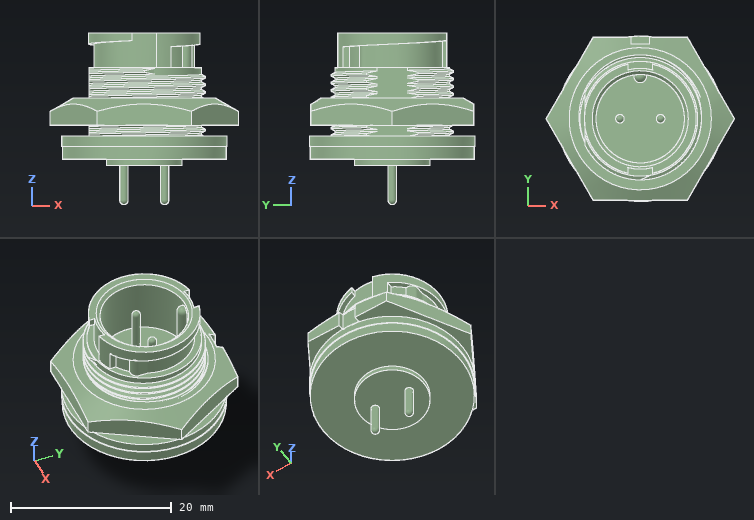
import cadquery as cq
import math


TOP_Z = 12.84
SHOULDER_Z = 8.52
FLOOR_Z = 4.96
FLANGE_BOTTOM_Z = -1.29
RING_BOTTOM_Z = -2.91
BOSS_BOTTOM_Z = -3.69
PIN_BOTTOM_Z = -8.55
PIN_TOP_Z = 10.75
KEY_TOP_Z = 11.83

FLANGE_R = 20.62 / 2
RING_R = 10.22
BOSS_R = 4.71
BORE_R = 5.5
BORE_CHAMFER = 0.48
BARREL_R = 6.27
LIP_R = 6.96

PIN_R = 0.53
PIN_X = 2.53
KEY_R = 0.77
KEY_Y = 5.26

PITCH = 0.94
CORE_R = 7.15
CREST_R = 7.62
CREST_HALF_WIDTH = 0.1
ROOT_HALF_WIDTH = 0.35
THREAD_TURNS = 9
THREAD_END_Z = 8.02
RUNOUT_LENGTH = 1.25
RUNOUT_REACH = 2
RUNOUT_TURNS = 0.04
FLAT_X = -6.9

SLOT_HALF_WIDTH = 1.53
STOP_X = 3.35
RAMP_PITCH = 2.0
RAMP_HIGH_Z = 11.94
DETENT_END_Y = 4.07
DETENT_FLAT_Y = 2.08
DETENT_ROUND = 0.85

HEX_SIDES = 6
NUT_CORNERS = 23.46
NUT_BOTTOM_Z = 1.32
NUT_TOP_Z = 4.73
NUT_TOP_R = 8.85
NUT_CHAMFER_ANGLE = 30
NUT_BORE_R = 7.5
NUT_GROOVE_R = 7.95
GROOVE_TIP_HALF_WIDTH = 0.06
GROOVE_MOUTH_HALF_WIDTH = 0.3
NOTCH_WIDTH = 2.36
NOTCH_DEPTH = 0.85

OVERLAP = 0.15
MARGIN = 1.0


def cylinder(radius, bottom, top, x=0.0, y=0.0):
    return cq.Workplane("XY", origin=(x, y, bottom)).circle(radius).extrude(top - bottom)


def block(x_min, x_max, y_min, y_max, z_min, z_max):
    size = (x_max - x_min, y_max - y_min, z_max - z_min)
    return cq.Workplane("XY").box(*size, centered=False).translate((x_min, y_min, z_min))


def half_turn(body):
    return body.rotate((0, 0, 0), (0, 0, 1), 180)


def helical_ridge(base_r, tip_r, base_half, tip_half, start_z, turns):
    """Trapezoidal right-hand ridge that starts at the -Y side; its base is sunk past base_r."""
    sunk_r = base_r - OVERLAP
    sunk_half = base_half + (base_half - tip_half) * OVERLAP / (tip_r - base_r)
    path = cq.Wire.makeHelix(PITCH, turns * PITCH, base_r)
    ridge = (
        cq.Workplane("XZ")
        .polyline([(sunk_r, -sunk_half), (tip_r, -tip_half), (tip_r, tip_half), (sunk_r, sunk_half)])
        .close()
        .sweep(path, isFrenet=True)
    )
    return ridge.rotate((0, 0, 0), (0, 0, 1), -90).translate((0, 0, start_z))


def threaded_body():
    start_z = THREAD_END_Z - THREAD_TURNS * PITCH
    thread = helical_ridge(
        CORE_R, CREST_R, ROOT_HALF_WIDTH, CREST_HALF_WIDTH, start_z, THREAD_TURNS + RUNOUT_TURNS
    )
    core_y = -math.sqrt(CORE_R**2 - RUNOUT_LENGTH**2)
    runout = (
        cq.Workplane("XY", origin=(0, 0, THREAD_END_Z - PITCH / 2))
        .polyline([
            (0, -CREST_R),
            (RUNOUT_REACH * RUNOUT_LENGTH, RUNOUT_REACH * (core_y + CREST_R) - CREST_R),
            (RUNOUT_REACH * RUNOUT_LENGTH, -CREST_R - MARGIN),
            (0, -CREST_R - MARGIN),
        ])
        .close()
        .extrude(PITCH + MARGIN)
    )
    core = cylinder(CORE_R, FLANGE_BOTTOM_Z, SHOULDER_Z)
    reach = CREST_R + MARGIN
    flat = block(-reach, FLAT_X, -reach, reach, 0, SHOULDER_Z + MARGIN)
    return core.union(thread.cut(runout)).cut(flat)


def bayonet_channel():
    """Space under the lip on the -X side; its helicoidal roof rises from +Y round to -Y."""
    inner_r = BARREL_R - MARGIN
    outer_r = LIP_R + MARGIN
    rise = RAMP_PITCH / 2
    roof = cq.Face.makeRuledSurface(
        cq.Wire.makeHelix(RAMP_PITCH, rise, inner_r).Edges()[0],
        cq.Wire.makeHelix(RAMP_PITCH, rise, outer_r).Edges()[0],
    )
    depth = RAMP_HIGH_Z - SHOULDER_Z + MARGIN
    channel = cq.Solid.extrudeLinear(roof, cq.Vector(0, 0, -depth))
    channel = cq.Workplane(channel).rotate((0, 0, 0), (0, 0, 1), 90)
    return channel.translate((0, 0, RAMP_HIGH_Z - rise))


def bayonet_detent():
    """Rounded bump on the barrel near the end of the -X channel."""
    flat_x = math.sqrt(BARREL_R**2 - DETENT_FLAT_Y**2)
    inner_x = flat_x - 2 * DETENT_ROUND
    bump = block(-flat_x, -inner_x, DETENT_FLAT_Y, DETENT_END_Y, SHOULDER_Z, RAMP_HIGH_Z)
    bump = bump.edges("|Z and <X and >Y").fillet(DETENT_ROUND)
    return bump.intersect(cylinder(LIP_R, SHOULDER_Z, RAMP_HIGH_Z))


def bayonet_barrel():
    barrel = cylinder(BARREL_R, SHOULDER_Z, TOP_Z)
    ring = cylinder(LIP_R, SHOULDER_Z, TOP_Z).cut(barrel)

    stop = block(-STOP_X, MARGIN, 0, LIP_R + 2 * MARGIN, SHOULDER_Z - 2 * MARGIN, TOP_Z)
    channel = bayonet_channel().cut(stop)
    lip = ring.cut(channel).cut(half_turn(channel))

    slots = block(
        -SLOT_HALF_WIDTH, SLOT_HALF_WIDTH, -LIP_R - MARGIN, LIP_R + MARGIN, SHOULDER_Z, TOP_Z + MARGIN
    )
    lip = lip.cut(slots)

    detent = bayonet_detent().intersect(channel).cut(barrel)
    return barrel.union(lip).union(detent).union(half_turn(detent))


def socket():
    """Cavity of the mating face, with a 45 degree lead-in at its mouth."""
    mouth_z = TOP_Z - BORE_CHAMFER
    mouth = cq.Workplane("XY", origin=(0, 0, mouth_z)).circle(BORE_R).extrude(BORE_CHAMFER, taper=-45)
    return cylinder(BORE_R, FLOOR_Z, mouth_z).union(mouth)


def contact_pin(x):
    pin = cylinder(PIN_R, PIN_BOTTOM_Z + PIN_R, PIN_TOP_Z - PIN_R, x=x)
    for end_z in (PIN_BOTTOM_Z + PIN_R, PIN_TOP_Z - PIN_R):
        pin = pin.union(cq.Workplane("XY", origin=(x, 0, end_z)).sphere(PIN_R))
    return pin


def key_post():
    post = cylinder(KEY_R, FLOOR_Z - MARGIN, KEY_TOP_Z - KEY_R, y=KEY_Y)
    return post.union(cq.Workplane("XY", origin=(0, KEY_Y, KEY_TOP_Z - KEY_R)).sphere(KEY_R))


def make_housing():
    body = threaded_body().union(bayonet_barrel())
    body = body.union(cylinder(FLANGE_R, FLANGE_BOTTOM_Z, 0))
    body = body.union(cylinder(RING_R, RING_BOTTOM_Z, FLANGE_BOTTOM_Z))
    body = body.union(cylinder(BOSS_R, BOSS_BOTTOM_Z, RING_BOTTOM_Z))
    body = body.cut(socket())

    for side in (-1, 1):
        body = body.union(contact_pin(side * PIN_X))
    return body.union(key_post())


def make_nut():
    height = NUT_TOP_Z - NUT_BOTTOM_Z
    nut = cq.Workplane("XY", origin=(0, 0, NUT_BOTTOM_Z)).polygon(HEX_SIDES, NUT_CORNERS).extrude(height)

    rim_r = NUT_CORNERS / 2 + MARGIN
    rim_z = NUT_TOP_Z - (rim_r - NUT_TOP_R) * math.tan(math.radians(NUT_CHAMFER_ANGLE))
    envelope = (
        cq.Workplane("XZ")
        .polyline([
            (0, NUT_BOTTOM_Z),
            (rim_r, NUT_BOTTOM_Z),
            (rim_r, rim_z),
            (NUT_TOP_R, NUT_TOP_Z),
            (0, NUT_TOP_Z),
        ])
        .close()
        .revolve(360, (0, 0, 0), (0, 1, 0))
    )
    nut = nut.intersect(envelope)

    spare_turns = 2
    turns_below_end = math.ceil((THREAD_END_Z - NUT_BOTTOM_Z) / PITCH) + spare_turns - 1
    groove_turns = math.ceil(height / PITCH) + 2 * spare_turns - 1
    groove = helical_ridge(
        NUT_BORE_R,
        NUT_GROOVE_R,
        GROOVE_MOUTH_HALF_WIDTH,
        GROOVE_TIP_HALF_WIDTH,
        THREAD_END_Z - turns_below_end * PITCH,
        groove_turns,
    )
    bore = cylinder(NUT_BORE_R, NUT_BOTTOM_Z - spare_turns * PITCH, NUT_TOP_Z + spare_turns * PITCH)
    nut = nut.cut(bore.union(groove))

    flat_y = NUT_CORNERS / 2 * math.cos(math.pi / HEX_SIDES)
    notch = block(
        -NOTCH_WIDTH / 2, NOTCH_WIDTH / 2, flat_y - NOTCH_DEPTH, flat_y + MARGIN, NUT_BOTTOM_Z, NUT_TOP_Z
    )
    return nut.cut(notch)


housing = make_housing()
nut = make_nut()

result = cq.Compound.makeCompound([housing.solids().val(), nut.solids().val()])